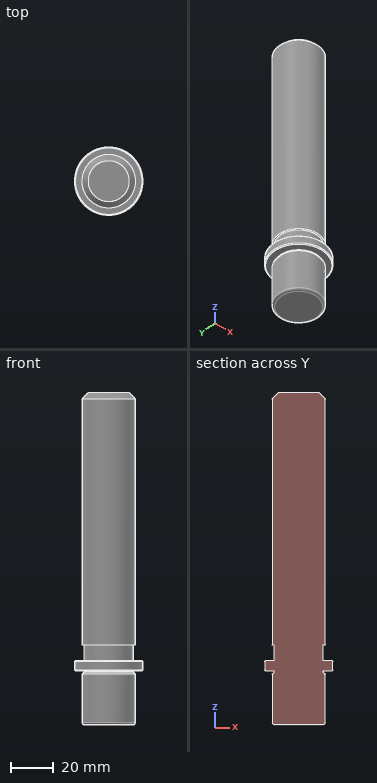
import cadquery as cq

total_length = 155.0
pin_radius = 25.0 / 2
tip_chamfer = 3.0
base_fillet = 1.2

flange_radius = 32.0 / 2
flange_bottom = 25.1
flange_thickness = 5.0
flange_edge_chamfer = 0.5
flange_top = flange_bottom + flange_thickness
neck_radius = 23.1 / 2
neck_length = 7.1
relief_groove_width = 0.5
relief_taper_height = 1.0


def cylinder(radius, bottom, top):
    """Solid cylinder on the Z axis between two heights."""
    return cq.Workplane("XY").workplane(offset=bottom).circle(radius).extrude(top - bottom)


def make_shank():
    """Lower pin end: rounded bottom edge, then a taper to a narrow groove under the flange."""
    shank_top = flange_bottom - relief_groove_width
    shank = cylinder(pin_radius, 0, shank_top)
    shank = shank.faces("<Z").edges().fillet(base_fillet)
    shank = shank.faces(">Z").edges().chamfer(relief_taper_height, pin_radius - neck_radius)
    groove = cylinder(neck_radius, shank_top, flange_bottom)
    return shank.union(groove)


def make_flange():
    """Locating collar with both rims chamfered."""
    flange = cylinder(flange_radius, flange_bottom, flange_top)
    return flange.faces("<Z or >Z").edges().chamfer(flange_edge_chamfer)


def make_guide():
    """Long upper pin with a chamfered tip, joined to the flange by a narrower neck."""
    guide_bottom = flange_top + neck_length
    neck = cylinder(neck_radius, flange_top, guide_bottom)
    guide = cylinder(pin_radius, guide_bottom, total_length)
    guide = guide.faces(">Z").edges().chamfer(tip_chamfer)
    return neck.union(guide)


result = make_shank().union(make_flange()).union(make_guide())